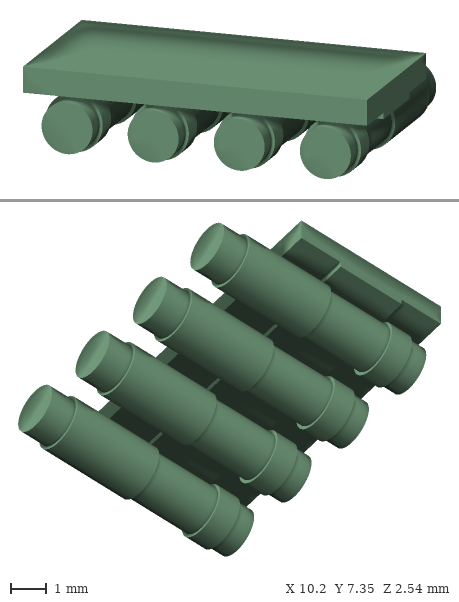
import cadquery as cq

plate_width = 10.16
plate_depth = 5.0
plate_thickness = 0.75
overall_height = 2.54

pin_count = 4
pin_pitch = plate_width / pin_count
collar_diameter = 1.7
core_diameter = 1.5
pin_axis_z = collar_diameter / 2

pin_front = 0.1
front_collar_start = 0.69
groove_start = 1.4
groove_end = 3.59
rear_collar_end = 6.51
pin_back = 7.35

rib_bottom_z = pin_axis_z + core_diameter / 2
plate_bottom_z = overall_height - plate_thickness


def block(y_start, y_end, z_bottom, z_top):
    """Full-width block between the given Y and Z limits."""
    return cq.Workplane("XY").box(
        plate_width, y_end - y_start, z_top - z_bottom, centered=False
    ).translate((0, y_start, z_bottom))


def make_plate():
    """Flat plate with one rib across its underside."""
    slab = block(0, plate_depth, plate_bottom_z, overall_height)
    rib = block(groove_start, groove_end, rib_bottom_z, plate_bottom_z)
    return slab.union(rib)


def bar(x, diameter, y_start, y_end):
    """Round bar along +Y at the height of the pin axis."""
    start = cq.Vector(x, y_start, pin_axis_z)
    along_y = cq.Vector(0, 1, 0)
    return cq.Workplane(cq.Solid.makeCylinder(diameter / 2, y_end - y_start, start, along_y))


def make_pin(x):
    """Pin with a short front collar and a long rear collar, leaving a groove between them."""
    core = bar(x, core_diameter, pin_front, pin_back)
    front_collar = bar(x, collar_diameter, front_collar_start, groove_start)
    rear_collar = bar(x, collar_diameter, groove_end, rear_collar_end)
    return core.union(front_collar).union(rear_collar)


plate = make_plate()
pins = [make_pin((i + 0.5) * pin_pitch) for i in range(pin_count)]

result = cq.Compound.makeCompound([plate.val(), *[pin.val() for pin in pins]])